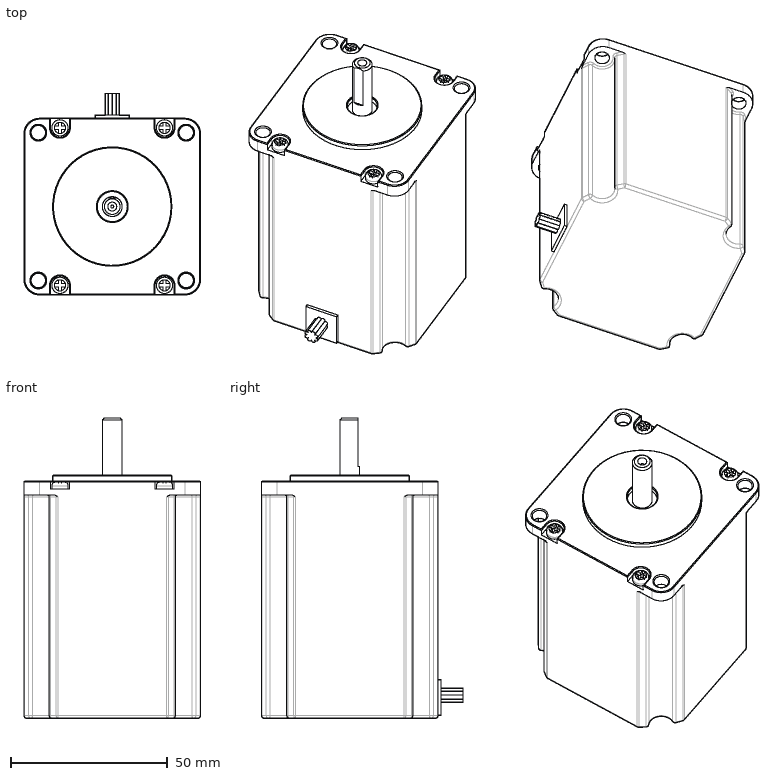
import cadquery as cq
import math

total_height = 96.0
body_width = 56.4
half_width = body_width / 2

flange_top = 75.8
ledge_height = 71.3
ear_radius = 5.0
mount_hole_diameter = 4.6
mount_hole_chamfer = 0.4
mount_hole_offset = 23.6
edge_break = 0.3
chamfer_angle = 45.0

recess_arc_radius = 4.0
flank_start = 10.6
flank_angle = 36.0
body_round = 1.0
ledge_fillet = 0.6

pilot_diameter = 38.1
pilot_top = 77.8
well_diameter = 9.6
well_depth = pilot_top - flange_top

shaft_diameter = 6.3
shaft_chamfer = 0.7
shaft_flat_offset = 2.7
shaft_flat_bottom = 80.5
center_hole_diameter = 2.9
center_hole_pilot_diameter = 1.0
center_cone_depth = 1.7
center_hole_depth = 2.5

screw_offset_x = 16.7
screw_offset_y = 25.2
pocket_width = 6.0
pocket_depth = 2.5
screw_head_diameter = 5.2
screw_crown_diameter = 3.6
screw_rim_height = 1.0
screw_head_height = 2.3
cross_length = 3.6
cross_width = 1.1
cross_depth = 1.3

outlet_width = 10.9
outlet_bottom = 1.0
outlet_top = 12.4
outlet_thickness = 1.0
cable_length = 8.0
cable_height = 7.4
wire_count = 8
wire_diameter = 1.3
cable_core_diameter = 3.4

QUARTER_TURNS = (0, 90, 180, 270)
SIDES = (-1, 1)
selection_margin = 0.01


def make_corner_recess():
    """Cutter for the (-X, -Y) corner, standing on Z = 0, with a rounded upper edge.

    It is drawn with the body corner at the origin and mirrored about the diagonal x = y.
    """
    slope = math.radians(flank_angle)
    diagonal = flank_start * math.tan(slope) / (1 + math.tan(slope))
    tangent_length = body_round * math.tan(slope / 2)
    horn = flank_start + tangent_length
    side_point = (horn, 0)
    middle_point = (
        horn - body_round * math.sin(slope / 2),
        body_round - body_round * math.cos(slope / 2),
    )
    flank_point = (
        flank_start - tangent_length * math.cos(slope),
        tangent_length * math.sin(slope),
    )
    outside = -body_round

    wedge = (
        cq.Workplane("XY")
        .moveTo(horn, outside)
        .lineTo(*side_point)
        .threePointArc(middle_point, flank_point)
        .lineTo(diagonal, diagonal)
        .lineTo(*reversed(flank_point))
        .threePointArc(tuple(reversed(middle_point)), tuple(reversed(side_point)))
        .lineTo(outside, horn)
        .lineTo(outside, outside)
        .close()
        .extrude(ledge_height)
    )
    hole = half_width - mount_hole_offset
    wall = cq.Workplane("XY").center(hole, hole).circle(recess_arc_radius).extrude(ledge_height)
    recess = wedge.union(wall)

    reach = hole + recess_arc_radius
    wall_edges = cq.selectors.BoxSelector(
        (selection_margin, selection_margin, 0),
        (reach, reach, ledge_height),
    )
    recess = recess.edges("|Z").edges(wall_edges).fillet(body_round)
    ledge_edges = cq.selectors.BoxSelector(
        (selection_margin, selection_margin, ledge_height - selection_margin),
        (horn, horn, ledge_height + selection_margin),
    )
    recess = recess.edges(ledge_edges).fillet(ledge_fillet)
    return recess.translate((-half_width, -half_width, 0))


def make_housing():
    housing = cq.Workplane("XY").rect(body_width, body_width).extrude(flange_top)
    housing = housing.edges("|Z").fillet(ear_radius)
    recess = make_corner_recess()
    for angle in QUARTER_TURNS:
        housing = housing.cut(recess.rotate((0, 0, 0), (0, 0, 1), angle))
    housing = housing.faces("<Z").edges().fillet(body_round)
    return housing.faces(">Z").edges().chamfer(edge_break)


def cut_mounting_holes(housing):
    spacing = 2 * mount_hole_offset
    return (
        housing.faces(">Z")
        .workplane(origin=(0, 0, flange_top))
        .rect(spacing, spacing, forConstruction=True)
        .vertices()
        .cskHole(mount_hole_diameter, mount_hole_diameter + 2 * mount_hole_chamfer, 2 * chamfer_angle)
    )


def make_pilot():
    """Pilot disc, reaching down into the flange, with the open well around the shaft."""
    pilot = cq.Workplane("XY").workplane(offset=ledge_height).circle(pilot_diameter / 2)
    pilot = pilot.extrude(pilot_top - ledge_height)
    well = cq.Workplane("XY").workplane(offset=pilot_top).circle(well_diameter / 2)
    pilot = pilot.cut(well.extrude(-well_depth))
    return pilot.faces(">Z").edges().chamfer(edge_break)


def make_shaft():
    shaft = cq.Workplane("XY").workplane(offset=ledge_height).circle(shaft_diameter / 2)
    shaft = shaft.extrude(total_height - ledge_height)
    shaft = shaft.faces(">Z").edges().chamfer(shaft_chamfer)
    flat_cut = cq.Workplane("XY").box(
        shaft_diameter,
        shaft_diameter,
        total_height - shaft_flat_bottom,
        centered=(True, False, False),
    )
    shaft = shaft.cut(flat_cut.translate((0, shaft_flat_offset, shaft_flat_bottom)))
    center_hole = (
        cq.Workplane("XZ")
        .moveTo(0, total_height)
        .lineTo(center_hole_diameter / 2, total_height)
        .lineTo(center_hole_pilot_diameter / 2, total_height - center_cone_depth)
        .lineTo(center_hole_pilot_diameter / 2, total_height - center_hole_depth)
        .lineTo(0, total_height - center_hole_depth)
        .close()
        .revolve(360, (0, 0, 0), (0, 1, 0))
    )
    return shaft.cut(center_hole)


def make_screw_pocket():
    """Cutter for a round-ended pocket open toward +Y, on the screw axis, with its floor on Z = 0."""
    radius = pocket_width / 2

    def outline(bottom):
        return (
            cq.Workplane("XY")
            .workplane(offset=bottom)
            .moveTo(-radius, pocket_width)
            .lineTo(-radius, 0)
            .threePointArc((0, -radius), (radius, 0))
            .lineTo(radius, pocket_width)
            .close()
        )

    chamfered_rim = outline(pocket_depth - edge_break).extrude(edge_break, taper=-chamfer_angle)
    return outline(0).extrude(pocket_depth).union(chamfered_rim)


def make_screw_head():
    """Cross-recessed head with its seat on Z = 0."""
    head = (
        cq.Workplane("XZ")
        .lineTo(screw_head_diameter / 2, 0)
        .lineTo(screw_head_diameter / 2, screw_rim_height)
        .tangentArcPoint((screw_crown_diameter / 2, screw_head_height), relative=False)
        .lineTo(0, screw_head_height)
        .close()
        .revolve(360, (0, 0, 0), (0, 1, 0))
    )
    slots = cq.Workplane("XY").workplane(offset=screw_head_height - cross_depth)
    for length, width in ((cross_length, cross_width), (cross_width, cross_length)):
        head = head.cut(slots.rect(length, width).extrude(cross_depth))
    return head


def make_cable_outlet():
    height = outlet_top - outlet_bottom
    plate = cq.Workplane("XY").box(
        outlet_width, 2 * outlet_thickness, height, centered=(True, True, False)
    )
    plate = plate.translate((0, half_width, outlet_bottom))
    ring_radius = wire_diameter / 2 / math.sin(math.pi / wire_count)
    cable_start = cq.Workplane("XZ", origin=(0, half_width, cable_height))
    cable = cable_start.circle(cable_core_diameter / 2).extrude(-cable_length)
    wires = (
        cable_start.polarArray(ring_radius, 180 / wire_count, 360, wire_count)
        .circle(wire_diameter / 2)
        .extrude(-cable_length)
    )
    return plate.union(cable.union(wires))


motor = cut_mounting_holes(make_housing())

pocket = make_screw_pocket()
screw_head = make_screw_head()
pocket_floor = flange_top - pocket_depth
for side_y in SIDES:
    turn = 0 if side_y > 0 else 180
    for side_x in SIDES:
        place = (side_x * screw_offset_x, side_y * screw_offset_y, pocket_floor)
        motor = motor.cut(pocket.rotate((0, 0, 0), (0, 0, 1), turn).translate(place))
        motor = motor.union(screw_head.translate(place))

motor = motor.union(make_pilot())
result = motor.union(make_shaft()).union(make_cable_outlet())